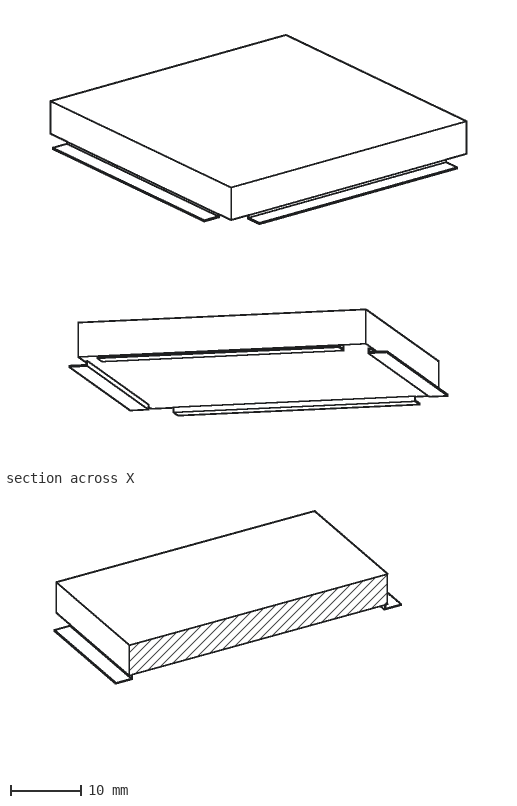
import cadquery as cq

overall_span = 46.6
overall_height = 5.75
body_side = 42.2
body_height = 5.0
lead_row_width = 35.4
lead_thickness = 0.2
foot_length = 2.7

body_bottom = overall_height - body_height
half_span = overall_span / 2
foot_inner = half_span - foot_length


def make_body():
    """Square block raised above the mounting plane."""
    return (
        cq.Workplane("XY")
        .workplane(offset=body_bottom)
        .rect(body_side, body_side)
        .extrude(body_height)
    )


def make_lead_row():
    """L-shaped lead strip on the +X side: a flat foot and an upright that meets the body."""
    profile = [
        (foot_inner, 0),
        (half_span, 0),
        (half_span, lead_thickness),
        (foot_inner + lead_thickness, lead_thickness),
        (foot_inner + lead_thickness, body_bottom),
        (foot_inner, body_bottom),
    ]
    return (
        cq.Workplane("XZ")
        .polyline(profile)
        .close()
        .extrude(lead_row_width / 2, both=True)
    )


result = make_body()
for angle in (0, 90, 180, 270):
    lead_row = make_lead_row().rotate((0, 0, 0), (0, 0, 1), angle)
    result = result.union(lead_row)